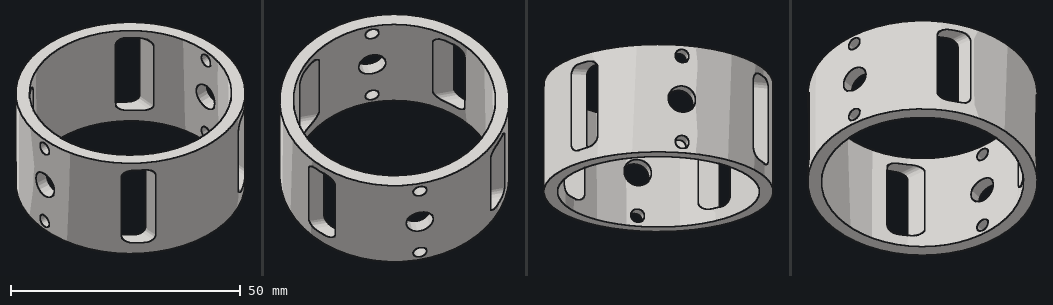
import cadquery as cq

outer_diameter = 50.0
wall_thickness = 3.0
height = 25.0
inner_diameter = outer_diameter - 2 * wall_thickness

center_hole_diameter = 6.0
side_hole_diameter = 3.0
side_hole_offset = 10.0

slot_width = 6.0
slot_height = 20.0
slot_corner_radius = 2.0
slot_offset = 15.0
slot_floor_height = 3.0
slot_center_z = -height / 2 + slot_floor_height + slot_height / 2

cutter_length = outer_diameter + 2 * wall_thickness


def make_ring():
    """Plain ring standing on Z and centered on the origin."""
    return (
        cq.Workplane("XY")
        .circle(outer_diameter / 2)
        .circle(inner_diameter / 2)
        .extrude(height / 2, both=True)
    )


def make_hole_cutter(diameter, z):
    """Cylinder along Y at the given height."""
    return (
        cq.Workplane("XZ")
        .center(0, z)
        .circle(diameter / 2)
        .extrude(cutter_length / 2, both=True)
    )


def make_slot_cutter(y):
    """Bar along X with rounded corners, at the given Y position."""
    return (
        cq.Workplane("XY")
        .box(cutter_length, slot_width, slot_height)
        .edges("|X")
        .fillet(slot_corner_radius)
        .translate((0, y, slot_center_z))
    )


result = make_ring()

result = result.cut(make_hole_cutter(center_hole_diameter, 0))
for side in (-1, 1):
    result = result.cut(make_hole_cutter(side_hole_diameter, side * side_hole_offset))
    result = result.cut(make_slot_cutter(side * slot_offset))